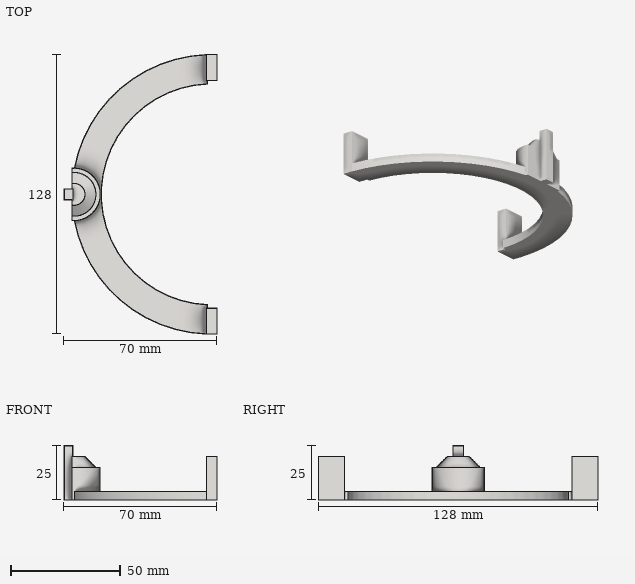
import cadquery as cq

ring_outer_radius = 64.0
ring_inner_radius = 50.5
ring_thickness = 4.0
ring_end_x = -2.0

leg_length_x = 5.0
leg_width_y = 12.0
leg_height = 20.0
leg_overlap = 0.5

boss_radius = 12.0
boss_height = 15.0
cone_base_radius = 10.0
cone_top_radius = 5.0
cone_height = 5.0
boss_flat_x = -ring_outer_radius
boss_centre_offset = 1.0
boss_centre_x = boss_flat_x + boss_centre_offset

post_depth_x = 4.0
post_width_y = 5.0
post_height = 25.0
post_overlap = 0.5


def block(x_min, y_centre, length_x, width_y, height):
    """Box standing on the base plane, starting at x_min."""
    return (
        cq.Workplane("XY")
        .box(length_x, width_y, height, centered=(False, True, False))
        .translate((x_min, y_centre, 0))
    )


def half_ring():
    ring = (
        cq.Workplane("XY")
        .circle(ring_outer_radius)
        .circle(ring_inner_radius)
        .extrude(ring_thickness)
    )
    kept_length = ring_outer_radius + ring_end_x
    kept_side = block(-ring_outer_radius, 0, kept_length, 2 * ring_outer_radius, ring_thickness)
    return ring.intersect(kept_side)


def boss():
    """Stepped cylinder with a conical cap, cut flat on its outer side."""
    cap_top = boss_height + cone_height
    full_boss = (
        cq.Workplane("XZ")
        .moveTo(0, 0)
        .lineTo(boss_radius, 0)
        .lineTo(boss_radius, boss_height)
        .lineTo(cone_base_radius, boss_height)
        .lineTo(cone_top_radius, cap_top)
        .lineTo(0, cap_top)
        .close()
        .revolve(360, (0, 0), (0, 1))
        .translate((boss_centre_x, 0, 0))
    )
    kept_side = block(boss_flat_x, 0, 2 * boss_radius, 2 * boss_radius, cap_top)
    return full_boss.intersect(kept_side)


def legs():
    leg_x = ring_end_x - leg_overlap
    leg_y = ring_outer_radius - leg_width_y / 2
    leg = block(leg_x, leg_y, leg_length_x, leg_width_y, leg_height)
    return leg.union(leg.mirror("XZ"))


def post():
    post_x = boss_flat_x + post_overlap - post_depth_x
    return block(post_x, 0, post_depth_x, post_width_y, post_height)


result = half_ring().union(boss()).union(post()).union(legs())